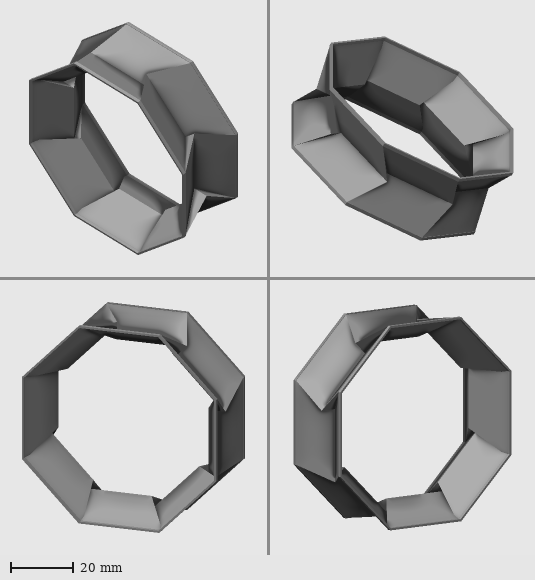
import cadquery as cq
import math

SIDES = 8
ACROSS_FLATS = 66.8
WIDTH = 26.4
BAND_WIDTH = 1.2
BAND_THICKNESS = 0.7

OUTER_RIM_APOTHEM = 33.25
OUTER_WAIST_APOTHEM = 26.3
OUTER_STEP_OFFSET = 5.6
INNER_WAIST_APOTHEM = 25.8
INNER_STEP_OFFSET = 6.2
INNER_KINK_APOTHEM = 31.65

turn = 2 * math.pi / SIDES
band_apothem = ACROSS_FLATS / 2
inner_rim_apothem = band_apothem - BAND_THICKNESS
rim_y = WIDTH / 2 - BAND_WIDTH


def side_point(side, along, apothem, y):
    """Point on a side: distance along it (clockwise from -Y), apothem and Y position."""
    angle = (side % SIDES) * turn
    x = apothem * math.sin(angle) + along * math.cos(angle)
    z = apothem * math.cos(angle) - along * math.sin(angle)
    return cq.Vector(x, y, z)


def corner_point(side, apothem, y):
    """Octagon corner at the clockwise end of a side."""
    return side_point(side, apothem * math.tan(turn / 2), apothem, y)


def flat_face(points):
    return cq.Face.makeFromWires(cq.Wire.makePolygon(points, close=True))


def folded_body(rim_apothem, waist_apothem, step_offset, kink_apothem):
    """Solid bounded by one skin of the folded wall and flat octagonal ends."""
    step_top_apothem = (waist_apothem - step_offset * math.sin(turn)) / math.cos(turn)
    kink_fraction = (kink_apothem - waist_apothem) / (rim_apothem - waist_apothem)
    faces = []
    for end in (-1, 1):
        y_end = end * rim_y
        y_kink = y_end * kink_fraction
        faces.append(flat_face([corner_point(i, rim_apothem, y_end) for i in range(SIDES)]))
        for side in range(SIDES):
            step_foot = side_point(side, step_offset, waist_apothem, 0)
            step_top = side_point(side, step_offset, step_top_apothem, 0)
            previous_top = side_point(side - 1, step_offset, step_top_apothem, 0)
            kink = corner_point(side, kink_apothem, y_kink)
            panel = [corner_point(side - 1, rim_apothem, y_end), corner_point(side, rim_apothem, y_end)]
            if kink_apothem < rim_apothem:
                panel.append(kink)
            panel += [step_foot, previous_top]
            if kink_apothem < rim_apothem:
                panel.append(corner_point(side - 1, kink_apothem, y_kink))
            faces.append(flat_face(panel))
            faces.append(flat_face([kink, step_foot, step_top]))
    return cq.Workplane(cq.Solid.makeSolid(cq.Shell.makeShell(faces)))


def octagon_prism(apothem, y_start, length):
    corners = [corner_point(i, apothem, 0) for i in range(SIDES)]
    outline = [(corner.x, corner.z) for corner in corners]
    prism = cq.Workplane("XZ").polyline(outline).close().extrude(-length)
    return prism.translate((0, y_start, 0))


def end_band(y_start):
    outside = octagon_prism(band_apothem, y_start, BAND_WIDTH)
    return outside.cut(octagon_prism(inner_rim_apothem, y_start, BAND_WIDTH))


outer_body = folded_body(OUTER_RIM_APOTHEM, OUTER_WAIST_APOTHEM, OUTER_STEP_OFFSET, OUTER_RIM_APOTHEM)
inner_body = folded_body(inner_rim_apothem, INNER_WAIST_APOTHEM, INNER_STEP_OFFSET, INNER_KINK_APOTHEM)
folded_wall = outer_body.cut(inner_body)

result = folded_wall.union(end_band(-WIDTH / 2)).union(end_band(rim_y))